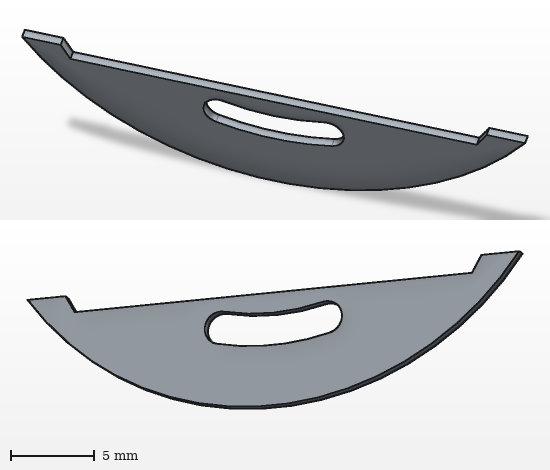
import cadquery as cq
import math

length = 31.27
height = 8.06
thickness = 0.6

tip_width = 2.4
recess_depth = 1.05
recess_wall_angle = 60.0

slot_width = 2.0
slot_rim_offset = 4.75
slot_half_angle = 13.45

half_length = length / 2
rim_radius = (half_length**2 + height**2) / (2 * height)
top_z = height - rim_radius


def polar(radius, angle):
    """Point in the XZ plane at an angle, in degrees, from straight down toward +X."""
    turn = math.radians(angle)
    return (radius * math.sin(turn), -radius * math.cos(turn))


def make_plate():
    """Circular segment with a sloped-wall recess along its top edge."""
    recess_top_x = half_length - tip_width
    recess_floor_x = recess_top_x - recess_depth / math.tan(math.radians(recess_wall_angle))
    recess_floor_z = top_z - recess_depth
    return (
        cq.Workplane("XZ")
        .moveTo(-half_length, top_z)
        .threePointArc((0, -rim_radius), (half_length, top_z))
        .lineTo(recess_top_x, top_z)
        .lineTo(recess_floor_x, recess_floor_z)
        .lineTo(-recess_floor_x, recess_floor_z)
        .lineTo(-recess_top_x, top_z)
        .close()
        .extrude(thickness / 2, both=True)
    )


def make_slot():
    """Round-ended arc slot running through the full thickness."""
    center_radius = rim_radius - slot_rim_offset
    end_radius = slot_width / 2
    inner_radius = center_radius - end_radius
    outer_radius = center_radius + end_radius
    end_x, end_z = polar(center_radius, slot_half_angle)
    end_slope = math.radians(slot_half_angle)
    cap_x = end_x + end_radius * math.cos(end_slope)
    cap_z = end_z + end_radius * math.sin(end_slope)
    return (
        cq.Workplane("XZ")
        .moveTo(*polar(outer_radius, -slot_half_angle))
        .threePointArc(polar(outer_radius, 0), polar(outer_radius, slot_half_angle))
        .threePointArc((cap_x, cap_z), polar(inner_radius, slot_half_angle))
        .threePointArc(polar(inner_radius, 0), polar(inner_radius, -slot_half_angle))
        .threePointArc((-cap_x, cap_z), polar(outer_radius, -slot_half_angle))
        .close()
        .extrude(thickness, both=True)
    )


result = make_plate().cut(make_slot())